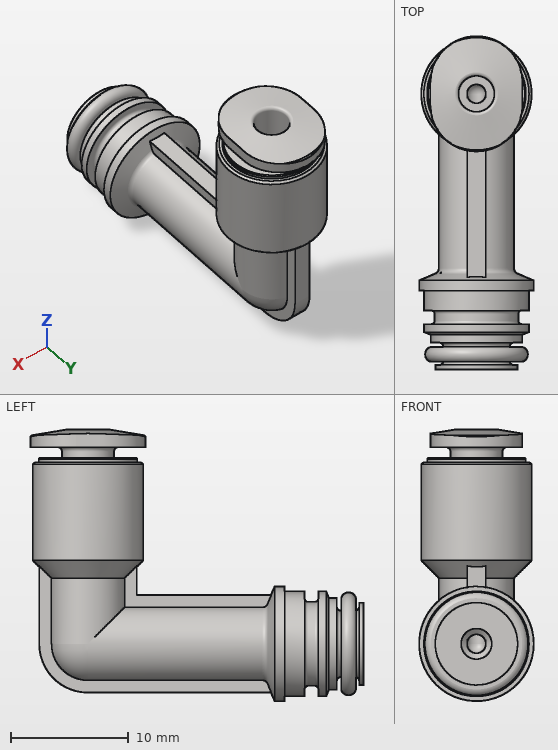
import cadquery as cq
import math


total_length = 28.3
total_height = 23.07
flange_dia = 9.75

pipe_dia = 6.4
rib_thickness = 1.6
rib_reach = 4.15
bore_dia = 1.6

socket_dia = 9.4
socket_base_z = 7.08
socket_top_z = 15.43
socket_edge_dia = 8.93
socket_edge_height = 0.18
cap_ring_dia = 8.4
cap_ring_height = 0.35
cap_ring_chamfer = 0.1
tube_hole_dia = 3.05
tube_stop_z = socket_base_z

button_width = 7.8
button_length = 9.8
button_bottom_z = 16.68
button_cone_drop = 0.49
button_rim_chamfer = 0.13
button_stem_dia = 4.45
button_stem_fillet = 0.35
button_hole_round = 0.3

pipe_fillet_length = 0.42
pipe_fillet_rise = 0.25
cone_length = 0.6
flange_length = 0.86
collar_dia = 8.93
collar_length = 1.7
groove_dia = 7.15
groove_length = 1.15
groove_fillet = 0.28
lip_length = 0.68
lip_chamfer = 0.23
shoulder_dia = 7.8
shoulder_length = 0.67
ring_seat_dia = 5.65
ring_seat_length = 1.89
ring_seat_fillet = 0.35
end_rim_dia = 7.0
end_rim_length = 0.39
seal_dia = 8.75
seal_gap = 0.26
seal_width = 1.28
seal_crown = 0.5
plug_hole_dia = 2.6
plug_hole_depth = 6.0

button_top_z = total_height - flange_dia / 2
plug_end = total_length - button_length / 2
pipe_radius = pipe_dia / 2
diagonal = math.sqrt(0.5)


def revolve_on_z(profile):
    """Revolve a closed profile drawn as (radius, z) on the XZ plane."""
    return profile.close().revolve(360, (0, 0, 0), (0, 1, 0))


def lay_along_plug(solid):
    """Turn a solid built along +Z so that it points along -Y."""
    return solid.rotate((0, 0, 0), (1, 0, 0), 90)


def corner_arc(sketch, corner, start, end, radius):
    """Line to a square corner, rounded there by a concave fillet.

    start and end are the unit directions of travel before and after the corner.
    """
    begin = (corner[0] - start[0] * radius, corner[1] - start[1] * radius)
    finish = (corner[0] + end[0] * radius, corner[1] + end[1] * radius)
    inset = radius * (1 - diagonal)
    middle = (corner[0] + (end[0] - start[0]) * inset, corner[1] + (end[1] - start[1]) * inset)
    return sketch.lineTo(*begin).threePointArc(middle, finish)


INWARD, OUTWARD, ALONG = (-1, 0), (1, 0), (0, 1)


def make_elbow(run_length):
    """Two equal pipes joined by a spherical outer corner."""
    upright = cq.Workplane("XY").circle(pipe_radius).extrude(socket_base_z)
    run = lay_along_plug(cq.Workplane("XY").circle(pipe_radius).extrude(run_length))
    return upright.union(run).union(cq.Workplane("XY").sphere(pipe_radius))


def make_rib(flange_start):
    """Flat rib in the YZ plane along the inside and outside of the bend."""
    arc_mid = rib_reach * diagonal
    return (
        cq.Workplane("YZ")
        .moveTo(-flange_start, -rib_reach)
        .lineTo(0, -rib_reach)
        .threePointArc((arc_mid, -arc_mid), (rib_reach, 0))
        .lineTo(rib_reach, socket_base_z)
        .lineTo(-rib_reach, socket_base_z)
        .lineTo(-rib_reach, rib_reach)
        .lineTo(-flange_start, rib_reach)
        .close()
        .extrude(rib_thickness / 2, both=True)
    )


def make_socket():
    """Socket body with its 45 degree lower cone, top chamfer and cap ring."""
    radius = socket_dia / 2
    cap_radius = cap_ring_dia / 2
    cap_top_z = socket_top_z + cap_ring_height
    profile = (
        cq.Workplane("XZ")
        .moveTo(0, socket_base_z - (radius - pipe_radius))
        .lineTo(pipe_radius, socket_base_z - (radius - pipe_radius))
        .lineTo(radius, socket_base_z)
        .lineTo(radius, socket_top_z - socket_edge_height)
        .lineTo(socket_edge_dia / 2, socket_top_z)
        .lineTo(cap_radius, socket_top_z)
        .lineTo(cap_radius, cap_top_z - cap_ring_chamfer)
        .lineTo(cap_radius - cap_ring_chamfer, cap_top_z)
        .lineTo(0, cap_top_z)
    )
    return revolve_on_z(profile)


def make_button():
    """Obround release button with a shallow conical top on a filleted stem."""
    stem_radius = button_stem_dia / 2
    hole_edge = tube_hole_dia / 2 + button_hole_round
    end_radius = button_length / 2
    rim_z = button_top_z - button_cone_drop
    profile = (
        cq.Workplane("XZ")
        .moveTo(0, socket_top_z)
        .lineTo(stem_radius, socket_top_z)
    )
    profile = corner_arc(profile, (stem_radius, button_bottom_z), ALONG, OUTWARD, button_stem_fillet)
    profile = (
        profile
        .lineTo(end_radius, button_bottom_z)
        .lineTo(end_radius, rim_z - button_rim_chamfer)
        .lineTo(end_radius - button_rim_chamfer, rim_z)
        .lineTo(hole_edge, button_top_z)
        .lineTo(0, button_top_z)
    )
    outline = (
        cq.Workplane("XY")
        .workplane(offset=socket_top_z)
        .slot2D(button_length, button_width, 90)
        .extrude(button_top_z - socket_top_z)
    )
    return revolve_on_z(profile).intersect(outline)


def make_plug(flange_start):
    """Pipe, flange, collar, grooves and end rim, built along +Z and laid along -Y."""
    flange_radius = flange_dia / 2
    collar_radius = collar_dia / 2
    groove_radius = groove_dia / 2
    shoulder_radius = shoulder_dia / 2
    seat_radius = ring_seat_dia / 2
    rim_radius = end_rim_dia / 2

    cone_start = flange_start - cone_length
    cone_radius = pipe_radius + pipe_fillet_rise
    collar_start = flange_start + flange_length
    groove_start = collar_start + collar_length
    lip_start = groove_start + groove_length
    lip_end = lip_start + lip_length
    shoulder_start = lip_end + lip_chamfer
    seat_start = shoulder_start + shoulder_length
    seat_end = seat_start + ring_seat_length

    profile = (
        cq.Workplane("XZ")
        .lineTo(pipe_radius, 0)
        .lineTo(pipe_radius, cone_start - pipe_fillet_length)
        .tangentArcPoint((cone_radius, cone_start), relative=False)
        .lineTo(flange_radius, flange_start)
        .lineTo(flange_radius, collar_start)
        .lineTo(collar_radius, collar_start)
        .lineTo(collar_radius, groove_start)
    )
    profile = corner_arc(profile, (groove_radius, groove_start), INWARD, ALONG, groove_fillet)
    profile = corner_arc(profile, (groove_radius, lip_start), ALONG, OUTWARD, groove_fillet)
    profile = (
        profile
        .lineTo(collar_radius, lip_start)
        .lineTo(collar_radius, lip_end)
        .lineTo(shoulder_radius, shoulder_start)
        .lineTo(shoulder_radius, seat_start)
    )
    profile = corner_arc(profile, (seat_radius, seat_start), INWARD, ALONG, ring_seat_fillet)
    profile = corner_arc(profile, (seat_radius, seat_end), ALONG, OUTWARD, ring_seat_fillet)
    profile = (
        profile
        .lineTo(rim_radius, seat_end)
        .lineTo(rim_radius, plug_end)
        .lineTo(0, plug_end)
    )
    return lay_along_plug(revolve_on_z(profile))


def make_seal(center):
    """Sealing ring with a rounded outer face, seated in the last groove."""
    low = center - seal_width / 2
    high = center + seal_width / 2
    side_radius = seal_dia / 2 - seal_crown
    profile = (
        cq.Workplane("XZ")
        .moveTo(0, low)
        .lineTo(side_radius, low)
        .threePointArc((seal_dia / 2, center), (side_radius, high))
        .lineTo(0, high)
    )
    return lay_along_plug(revolve_on_z(profile))


def make_passage():
    """Bore through the bend, drilled plug hole and tube hole with rounded mouth."""
    bore_radius = bore_dia / 2
    plug_radius = plug_hole_dia / 2
    tube_radius = tube_hole_dia / 2
    drill_start = plug_end - plug_hole_depth

    plug_profile = (
        cq.Workplane("XZ")
        .lineTo(bore_radius, 0)
        .lineTo(bore_radius, drill_start - (plug_radius - bore_radius))
        .lineTo(plug_radius, drill_start)
        .lineTo(plug_radius, plug_end)
        .lineTo(0, plug_end)
    )
    mouth_radius = tube_radius + button_hole_round
    mouth_arc_mid = (
        mouth_radius - button_hole_round * diagonal,
        button_top_z - button_hole_round * (1 - diagonal),
    )
    tube_profile = (
        cq.Workplane("XZ")
        .lineTo(bore_radius, 0)
        .lineTo(bore_radius, tube_stop_z)
        .lineTo(tube_radius, tube_stop_z)
        .lineTo(tube_radius, button_top_z - button_hole_round)
        .threePointArc(mouth_arc_mid, (mouth_radius, button_top_z))
        .lineTo(0, button_top_z)
    )
    plug_side = lay_along_plug(revolve_on_z(plug_profile))
    corner = cq.Workplane("XY").sphere(bore_radius)
    return plug_side.union(revolve_on_z(tube_profile)).union(corner)


seal_center = plug_end - end_rim_length - seal_gap - seal_width / 2
flange_start = plug_end - (
    end_rim_length + ring_seat_length + shoulder_length + lip_chamfer + lip_length
    + groove_length + collar_length + flange_length
)

result = (
    make_elbow(flange_start)
    .union(make_rib(flange_start))
    .union(make_socket())
    .union(make_button())
    .union(make_plug(flange_start))
    .union(make_seal(seal_center))
    .cut(make_passage())
)